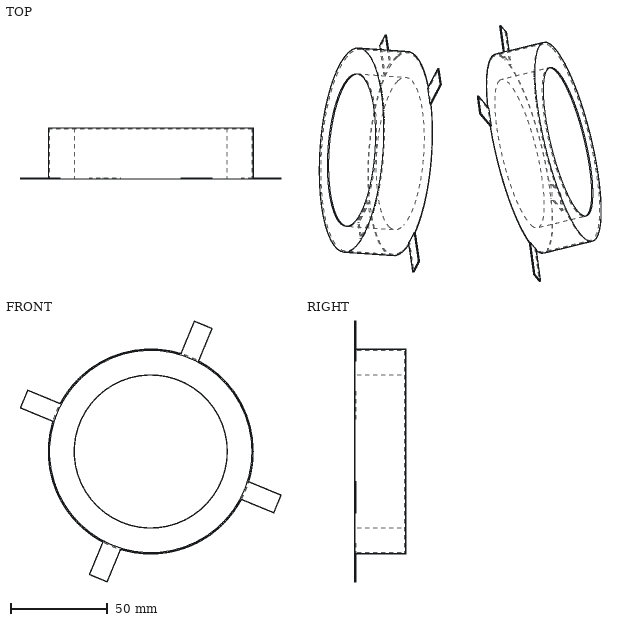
import cadquery as cq
import math

depth = 26.6
outer_radius = 53.0
sheet = 0.7
bore_radius = 39.5
insert_radius = outer_radius - sheet

overall_size = 135.0
tab_width = 10.0
tab_count = 4
tab_angle = 67.5
tab_spacing = 360.0 / tab_count

tab_angle_rad = math.radians(tab_angle)
tab_tip = (
    overall_size / 2 - tab_width / 2 * math.cos(tab_angle_rad)
) / math.sin(tab_angle_rad)


def cylinder(radius, start, end):
    """Solid cylinder about the Y axis between two Y positions."""
    return (
        cq.Workplane("XZ", origin=(0, start, 0))
        .circle(radius)
        .extrude(start - end)
    )


def make_tab(angle):
    """Flat radial tab, rooted in the casing wall and flush with the front face."""
    return (
        cq.Workplane("XY")
        .box(tab_tip, sheet, tab_width, centered=(False, False, True))
        .rotate((0, 0, 0), (0, 1, 0), -angle)
    )


def make_casing():
    """Thin cup with an open front, a bored back flange and radial tabs."""
    casing = cylinder(outer_radius, 0, depth)
    for index in range(tab_count):
        casing = casing.union(make_tab(tab_angle + index * tab_spacing))
    casing = casing.cut(cylinder(insert_radius, 0, depth - sheet))
    return casing.cut(cylinder(bore_radius, 0, depth))


def make_insert():
    """Ring that fills the casing from the front face to the back flange."""
    return cylinder(insert_radius, 0, depth - sheet).cut(cylinder(bore_radius, 0, depth))


casing = make_casing()
insert = make_insert()

result = cq.Compound.makeCompound([casing.val(), insert.val()])